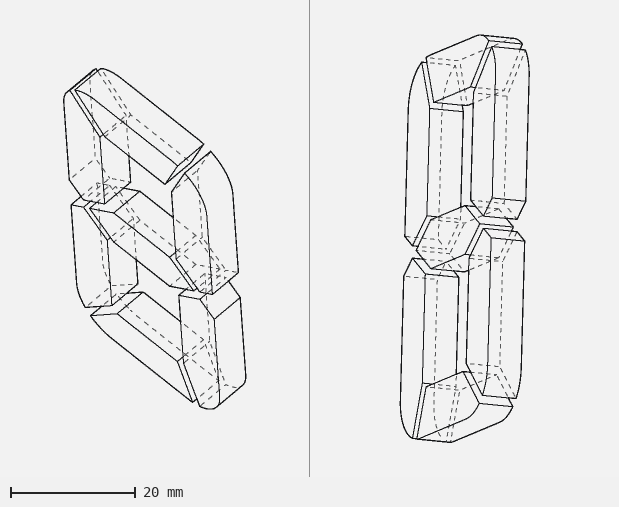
import cadquery as cq
import math

height = 62.0
width = 32.0
thickness = 6.0
stroke = 8.0
lean_angle = 3.5
corner_setback = 7.5

gap = 1.6
joint_x = 13.0
joint_angle = 36.5
joint_gap_length = 16.0
right_gap_inset = 0.55
upper_right_gap_angle = 19.9
lower_right_gap_angle = 23.3
gap_overrun = 2.0

half_height = height / 2
half_width = width / 2
inner_x = half_width - stroke
window_far_z = half_height - stroke
window_near_z = stroke / 2
lean = math.tan(math.radians(lean_angle))


def leaned(x, z):
    """Point of the upright digit moved sideways by the lean."""
    return (x - lean * z, z)


def plate(points):
    """Straight-sided plate of the XZ outline, centred on Y = 0."""
    return cq.Workplane("XZ").polyline(points).close().extrude(thickness / 2, both=True)


def leaned_box(left, right, low, high):
    corners = [(left, low), (right, low), (right, high), (left, high)]
    return plate([leaned(x, z) for x, z in corners])


def figure_eight():
    """Outer outline with four rounded corners and two windows."""
    body = leaned_box(-half_width, half_width, -half_height, half_height)
    sharp_radius = corner_setback * math.tan(math.radians(90 - lean_angle) / 2)
    blunt_radius = corner_setback * math.tan(math.radians(90 + lean_angle) / 2)
    for x_side in (-1, 1):
        for z_side in (-1, 1):
            x, z = leaned(x_side * half_width, z_side * half_height)
            radius = blunt_radius if x_side == z_side else sharp_radius
            corner_edge = cq.selectors.NearestToPointSelector((x, 0, z))
            body = body.edges("|Y").edges(corner_edge).fillet(radius)
    upper_window = leaned_box(-inner_x, inner_x, window_near_z, window_far_z)
    lower_window = leaned_box(-inner_x, inner_x, -window_far_z, -window_near_z)
    return body.cut(upper_window).cut(lower_window)


def gap_cutter(start, end):
    """Slot of the gap width whose centre line runs from start to end."""
    length = math.hypot(end[0] - start[0], end[1] - start[1])
    along_x = (end[0] - start[0]) / length
    along_z = (end[1] - start[1]) / length
    side_x = -along_z * gap / 2
    side_z = along_x * gap / 2
    return plate([
        (start[0] + side_x, start[1] + side_z),
        (end[0] + side_x, end[1] + side_z),
        (end[0] - side_x, end[1] - side_z),
        (start[0] - side_x, start[1] - side_z),
    ])


def joint_gaps():
    """Two gaps crossing at each end of the middle bar."""
    reach_x = joint_gap_length / 2 * math.cos(math.radians(joint_angle))
    reach_z = joint_gap_length / 2 * math.sin(math.radians(joint_angle))
    return [
        gap_cutter((x - reach_x, -slope * reach_z), (x + reach_x, slope * reach_z))
        for x in (-joint_x, joint_x)
        for slope in (-1, 1)
    ]


def left_corner_gap(z_side):
    """Mitre gap through the outer and window corners on the left."""
    outer_z = z_side * (half_height + gap_overrun)
    inner_z = z_side * (window_far_z - gap_overrun)
    start = leaned(-half_width - gap_overrun, outer_z)
    end = leaned(-inner_x + gap_overrun, inner_z)
    return gap_cutter(start, end)


def right_corner_gap(z_side, angle):
    """Steep gap that passes just inside the window corner on the right."""
    run_per_rise = math.tan(math.radians(angle))
    corner_x, corner_z = leaned(inner_x, z_side * window_far_z)
    pivot_x = corner_x - right_gap_inset
    outer_rise = stroke + gap_overrun
    start = (pivot_x - gap_overrun * run_per_rise, corner_z - z_side * gap_overrun)
    end = (pivot_x + outer_rise * run_per_rise, corner_z + z_side * outer_rise)
    return gap_cutter(start, end)


def split_bars():
    """The figure eight with all gaps cut, which leaves seven loose bars."""
    bars = figure_eight()
    cutters = joint_gaps()
    cutters += [left_corner_gap(z_side) for z_side in (-1, 1)]
    cutters.append(right_corner_gap(1, upper_right_gap_angle))
    cutters.append(right_corner_gap(-1, lower_right_gap_angle))
    for cutter in cutters:
        bars = bars.cut(cutter)
    return bars


bars = split_bars()
upright_x = half_width - stroke / 2
upright_z = half_height / 2
level_z = half_height - stroke / 2


def bar_at(x, z):
    """The loose bar whose centre is nearest to a place on the upright digit."""
    bar_x, bar_z = leaned(x, z)
    return bars.solids(cq.selectors.NearestToPointSelector((bar_x, 0, bar_z)))


top_bar = bar_at(0, level_z)
middle_bar = bar_at(0, 0)
bottom_bar = bar_at(0, -level_z)
upper_left_bar = bar_at(-upright_x, upright_z)
upper_right_bar = bar_at(upright_x, upright_z)
lower_left_bar = bar_at(-upright_x, -upright_z)
lower_right_bar = bar_at(upright_x, -upright_z)

result = cq.Compound.makeCompound([
    top_bar.val(),
    middle_bar.val(),
    bottom_bar.val(),
    upper_left_bar.val(),
    upper_right_bar.val(),
    lower_left_bar.val(),
    lower_right_bar.val(),
])